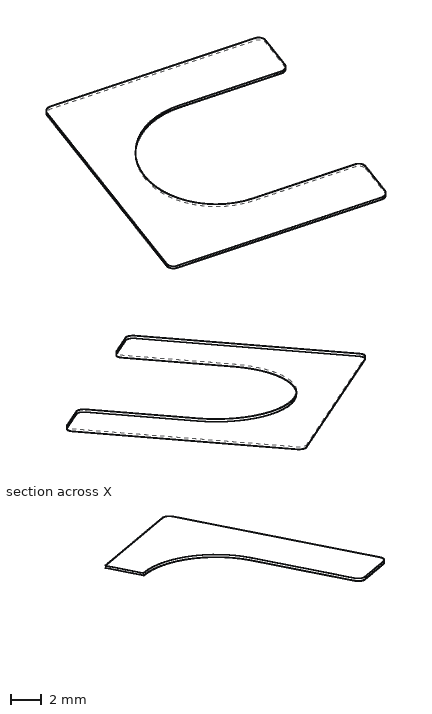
import cadquery as cq

width = 18.0
depth = 16.0
thickness = 0.2

slot_width = 10.5
slot_radius = slot_width / 2

corner_radius = 0.5


def make_plate():
    """Flat rectangular plate centred on the origin."""
    return cq.Workplane("XY").box(width, depth, thickness)


def make_slot_cutter():
    """Round-ended slot running from the plate centre out to the +Y edge."""
    return (
        cq.Workplane("XY")
        .moveTo(-slot_radius, depth / 2)
        .lineTo(-slot_radius, 0)
        .threePointArc((0, -slot_radius), (slot_radius, 0))
        .lineTo(slot_radius, depth / 2)
        .close()
        .extrude(thickness, both=True)
    )


def round_corners(body):
    """Round the upright edges at both ends of the plate."""
    return body.faces("<Y or >Y").edges("|Z").fillet(corner_radius)


result = round_corners(make_plate().cut(make_slot_cutter()))